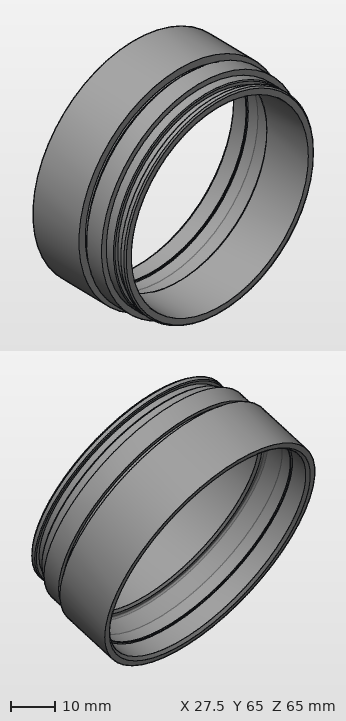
import cadquery as cq

length = 27.5

flange_radius = 32.5
flange_end = 15.0
neck_radius = 30.35
neck_end = 16.5
neck_root_length = 0.4
neck_root_height = 0.1
band_radius = 31.5
band_end = 21.4
spigot_radius = 30.0
groove_radius = 28.9
groove_start = 24.0
groove_end = 25.9
groove_edge_chamfer = 0.25
tip_chamfer = 0.4

socket_radius = 30.35
mouth_chamfer = 0.7
ridge_height = 0.4
ridge_start = 5.2
ridge_end = 5.5
taper_start = 8.65
taper_end_radius = 29.9
shoulder_x = 13.4
shoulder_fillet = 0.5
bore_radius = 28.0
bore_chamfer = 0.6


def revolve_profile(points):
    """Revolve a closed outline of (X, radius) points about the X axis."""
    return cq.Workplane("XY").polyline(points).close().revolve(360, (0, 0, 0), (1, 0, 0))


def outer_body():
    """Solid stepped body with the ring groove and the chamfered spigot tip."""
    chamfered_radius = spigot_radius - groove_edge_chamfer
    return revolve_profile([
        (0, 0),
        (0, flange_radius),
        (flange_end, flange_radius),
        (flange_end, neck_radius + neck_root_height),
        (flange_end + neck_root_length, neck_radius),
        (neck_end, neck_radius),
        (neck_end, band_radius),
        (band_end, band_radius),
        (band_end, spigot_radius),
        (groove_start - groove_edge_chamfer, spigot_radius),
        (groove_start, chamfered_radius),
        (groove_start, groove_radius),
        (groove_end, groove_radius),
        (groove_end, chamfered_radius),
        (groove_end + groove_edge_chamfer, spigot_radius),
        (length - tip_chamfer, spigot_radius),
        (length, spigot_radius - tip_chamfer),
        (length, 0),
    ])


def inner_cavity():
    """Socket, ridge, taper, rounded shoulder corner and bore as one solid."""
    ridge_radius = socket_radius - ridge_height
    socket = revolve_profile([
        (0, 0),
        (0, socket_radius + mouth_chamfer),
        (mouth_chamfer, socket_radius),
        (ridge_start, socket_radius),
        (ridge_start, ridge_radius),
        (ridge_end, ridge_radius),
        (ridge_end, socket_radius),
        (taper_start, socket_radius),
        (shoulder_x, taper_end_radius),
        (shoulder_x, 0),
    ])
    socket = socket.faces(">X").edges().fillet(shoulder_fillet)
    bore = revolve_profile([
        (shoulder_x, 0),
        (shoulder_x, bore_radius + bore_chamfer),
        (shoulder_x + bore_chamfer, bore_radius),
        (length, bore_radius),
        (length, 0),
    ])
    return socket.union(bore)


result = outer_body().cut(inner_cavity())